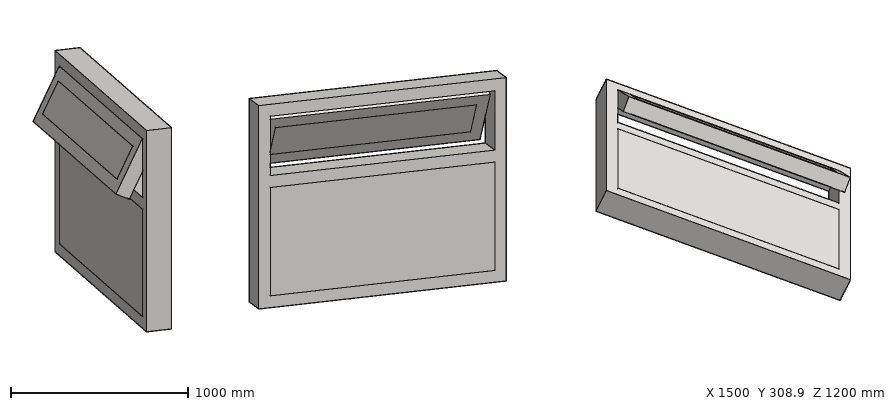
import cadquery as cq

frame_width = 1500.0
frame_height = 1200.0
frame_depth = 150.0
rail_width = 70.0

sash_height = 350.0
sash_thickness = 90.0
sash_angle = 27.0

opening_width = frame_width - 2 * rail_width
lower_height = frame_height - 3 * rail_width - sash_height
hinge_z = frame_height - rail_width
sash_bottom = hinge_z - sash_height

glass_width = opening_width - 2 * rail_width
glass_height = sash_height - 2 * rail_width


def upright_block(width, depth, height, bottom):
    """Block centred on X, with its front on Y = 0 and its underside at Z = bottom."""
    block = cq.Workplane("XY").box(width, depth, height, centered=(True, False, False))
    return block.translate((0, 0, bottom))


def swing_open(body):
    """Turn a closed sash part about the top front edge of the upper opening."""
    return body.rotate((0, 0, hinge_z), (1, 0, hinge_z), -sash_angle)


def make_lower_pane():
    """Fixed pane, flush with the front and back of the frame."""
    return upright_block(opening_width, frame_depth, lower_height, rail_width)


def make_frame():
    outline = upright_block(frame_width, frame_depth, frame_height, 0)
    upper_opening = upright_block(opening_width, frame_depth, sash_height, sash_bottom)
    return outline.cut(upper_opening).cut(make_lower_pane())


def closed_sash_glass():
    """Sash glass as thick as the sash, before it is swung open."""
    return upright_block(glass_width, sash_thickness, glass_height, sash_bottom + rail_width)


def make_sash():
    outline = upright_block(opening_width, sash_thickness, sash_height, sash_bottom)
    return swing_open(outline.cut(closed_sash_glass()))


def make_sash_glass():
    return swing_open(closed_sash_glass())


frame = make_frame()
lower_pane = make_lower_pane()
sash = make_sash()
sash_glass = make_sash_glass()

result = cq.Compound.makeCompound([frame.val(), lower_pane.val(), sash.val(), sash_glass.val()])